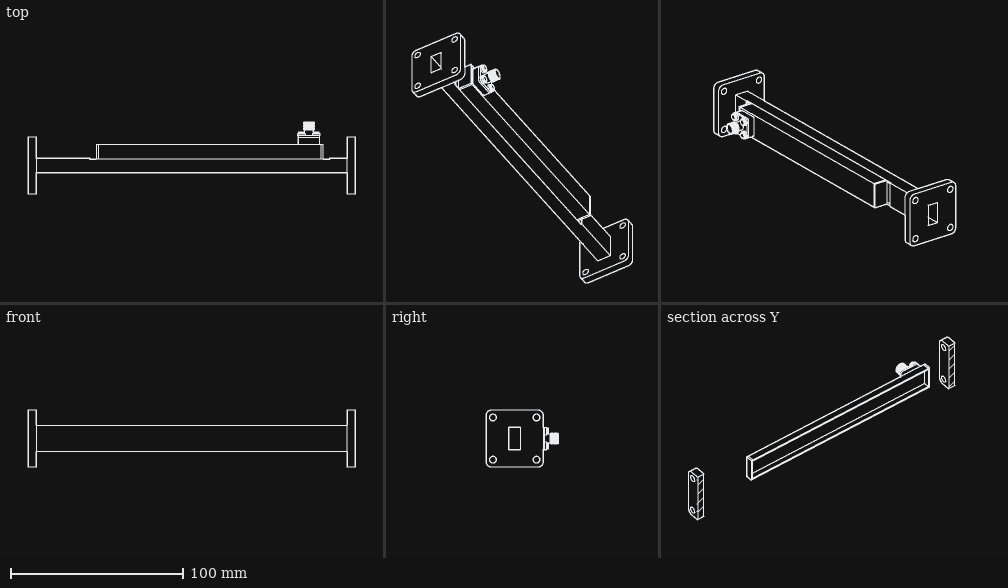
import cadquery as cq

LENGTH = 190.0
FLANGE_SIDE = 33.2
FLANGE_THICKNESS = 4.8
FLANGE_CORNER_RADIUS = 3.2
BOLT_HOLE_DIAMETER = 3.8
BOLT_SPACING_Y = 25.3
BOLT_SPACING_Z = 24.5
GUIDE_DEPTH = 8.5
GUIDE_HEIGHT = 15.2
BORE_DEPTH = 6.6
BORE_HEIGHT = 13.0

SEAT_LENGTH = 139.3
SEAT_DEPTH = 0.5
SEAT_Y = GUIDE_DEPTH / 2 - SEAT_DEPTH

SIDE_CENTER_X = 10.5
SIDE_LENGTH = 131.7
END_PLATE_THICKNESS = 1.1
SIDE_CENTER_Y = SEAT_Y + GUIDE_DEPTH / 2
SIDE_TOP_Y = SEAT_Y + GUIDE_DEPTH

OVERALL_DEPTH = 42.0
CONNECTOR_X = 68.0
BLOCK_SIDE = 12.5
BLOCK_HEIGHT = 4.0
BLOCK_CORNER_RADIUS = 1.1
PLATE_THICKNESS = 1.1
NECK_DIAMETER = 5.3
THREAD_DIAMETER = 6.5
THREAD_ROOT_DIAMETER = 5.5
THREAD_LENGTH = 4.8
THREAD_RIDGES = 7
TIP_Y = OVERALL_DEPTH - FLANGE_SIDE / 2
SCREW_SPACING = 8.5
SCREW_HEAD_DIAMETER = 3.5
SCREW_HEAD_HEIGHT = 0.8
COLLAR_DIAMETER = 4.5
COLLAR_HEIGHT = 1.3
COLLAR_CHAMFER = 0.4
BLOCK_TOP_Y = SIDE_TOP_Y + BLOCK_HEIGHT
PLATE_TOP_Y = BLOCK_TOP_Y + PLATE_THICKNESS


def facing_y(y):
    """Workplane at height y on the connector axis, with its normal along +Y."""
    return cq.Workplane(cq.Plane((CONNECTOR_X, y, 0), xDir=(1, 0, 0), normal=(0, 1, 0)))


def make_flange(center_x):
    flange = cq.Workplane("YZ").rect(FLANGE_SIDE, FLANGE_SIDE).extrude(FLANGE_THICKNESS / 2, both=True)
    flange = flange.edges("|X").fillet(FLANGE_CORNER_RADIUS)
    bolt_holes = (
        cq.Workplane("YZ")
        .rect(BOLT_SPACING_Y, BOLT_SPACING_Z, forConstruction=True)
        .vertices()
        .circle(BOLT_HOLE_DIAMETER / 2)
        .extrude(FLANGE_THICKNESS, both=True)
    )
    return flange.cut(bolt_holes).translate((center_x, 0, 0))


def make_main_guide():
    guide = cq.Workplane("XY").box(LENGTH, GUIDE_DEPTH, GUIDE_HEIGHT)
    seat = cq.Workplane("XY").box(SEAT_LENGTH, 2 * SEAT_DEPTH, GUIDE_HEIGHT)
    guide = guide.cut(seat.translate((SIDE_CENTER_X, GUIDE_DEPTH / 2, 0)))
    flange_x = (LENGTH - FLANGE_THICKNESS) / 2
    for center_x in (-flange_x, flange_x):
        guide = guide.union(make_flange(center_x))
    return guide.cut(cq.Workplane("XY").box(LENGTH, BORE_DEPTH, BORE_HEIGHT))


def make_side_guide():
    tube_length = SIDE_LENGTH - 2 * END_PLATE_THICKNESS
    tube = cq.Workplane("XY").box(tube_length, GUIDE_DEPTH, GUIDE_HEIGHT)
    tube = tube.cut(cq.Workplane("XY").box(tube_length, BORE_DEPTH, BORE_HEIGHT))
    return tube.translate((SIDE_CENTER_X, SIDE_CENTER_Y, 0))


def make_end_plate(direction):
    offset = direction * (SIDE_LENGTH - END_PLATE_THICKNESS) / 2
    plate = cq.Workplane("XY").box(END_PLATE_THICKNESS, GUIDE_DEPTH, GUIDE_HEIGHT)
    return plate.translate((SIDE_CENTER_X + offset, SIDE_CENTER_Y, 0))


def make_square_pad(base_y, thickness):
    pad = facing_y(base_y).rect(BLOCK_SIDE, BLOCK_SIDE).extrude(thickness)
    return pad.edges("|Y").fillet(BLOCK_CORNER_RADIUS)


def make_thread():
    """Threaded end as a stack of V-shaped ridges, revolved about the connector axis."""
    pitch = THREAD_LENGTH / THREAD_RIDGES
    base_y = TIP_Y - THREAD_LENGTH
    points = [(0, base_y), (THREAD_ROOT_DIAMETER / 2, base_y)]
    for ridge in range(THREAD_RIDGES):
        points.append((THREAD_DIAMETER / 2, base_y + (ridge + 0.5) * pitch))
        points.append((THREAD_ROOT_DIAMETER / 2, base_y + (ridge + 1) * pitch))
    points.append((0, TIP_Y))
    thread = cq.Workplane("XY").polyline(points).close().revolve(360, (0, 0, 0), (0, 1, 0))
    return thread.translate((CONNECTOR_X, 0, 0))


def make_screw_discs(base_y, diameter, height):
    """Four equal discs at the screw positions, standing on base_y."""
    return (
        facing_y(base_y)
        .rect(SCREW_SPACING, SCREW_SPACING, forConstruction=True)
        .vertices()
        .circle(diameter / 2)
        .extrude(height)
    )


def make_screw_heads():
    """Round heads, each on a wider chamfered collar."""
    collars = make_screw_discs(PLATE_TOP_Y, COLLAR_DIAMETER, COLLAR_HEIGHT)
    collars = collars.faces(">Y").edges().chamfer(COLLAR_CHAMFER)
    heads = make_screw_discs(PLATE_TOP_Y + COLLAR_HEIGHT, SCREW_HEAD_DIAMETER, SCREW_HEAD_HEIGHT)
    return collars.union(heads)


def make_connector():
    plate = make_square_pad(BLOCK_TOP_Y, PLATE_THICKNESS)
    neck_length = TIP_Y - THREAD_LENGTH - PLATE_TOP_Y
    neck = facing_y(PLATE_TOP_Y).circle(NECK_DIAMETER / 2).extrude(neck_length)
    return plate.union(neck).union(make_thread()).union(make_screw_heads())


main_guide = make_main_guide()
side_guide = make_side_guide()
end_plates = [make_end_plate(direction) for direction in (-1, 1)]
mounting_block = make_square_pad(SIDE_TOP_Y, BLOCK_HEIGHT)
connector = make_connector()

result = cq.Compound.makeCompound(
    [
        main_guide.val(),
        side_guide.val(),
        *[plate.val() for plate in end_plates],
        mounting_block.val(),
        connector.val(),
    ]
)